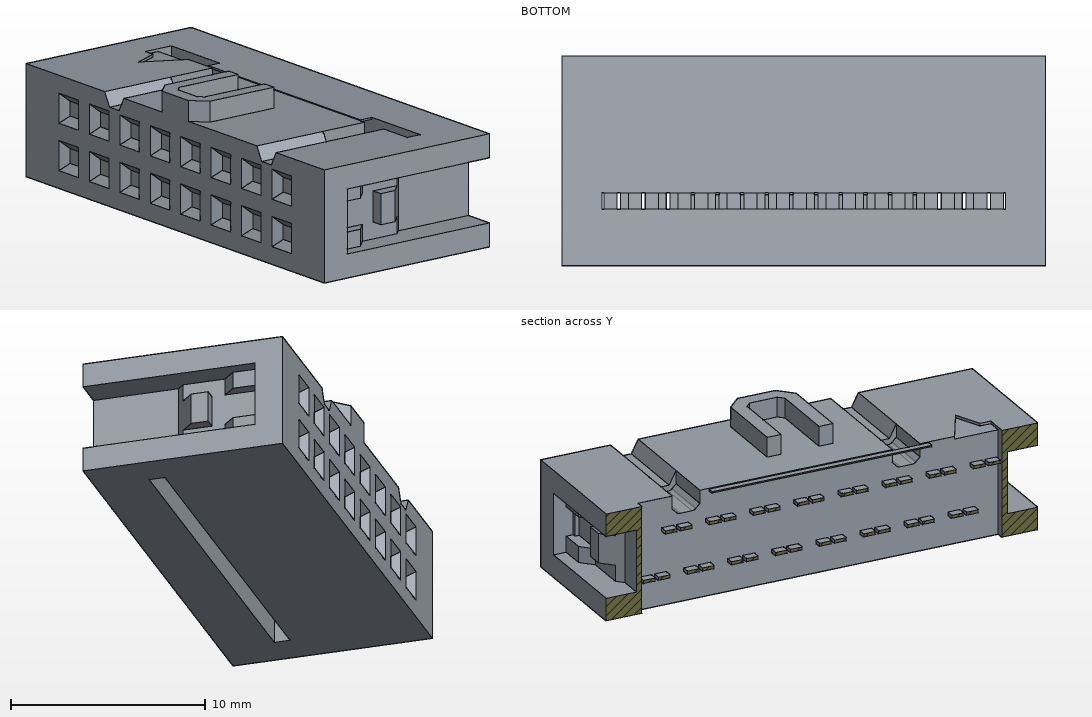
import cadquery as cq
import math


length = 24.9
depth = 10.8
body_height = 6.08
total_height = 7.2
mid_z = body_height / 2

contacts_per_row = 8
contact_pitch = 2.55
wire_pitch = contact_pitch / 2
row_z = {"lower": mid_z - contact_pitch / 2, "upper": mid_z + contact_pitch / 2}

opening_mouth = 1.62
opening_floor = 0.8
opening_depth = (opening_mouth - opening_floor) / 2

passage_half_length = 10.38
housing_back = 7.05
seam_width = 0.1
lip_thickness = 0.1
passage_back = 7.9
lip_half_length = 5 * wire_pitch

blade_width = 1.55
blade_thickness = 0.2
fork_slot = 0.17
blade_bite = 0.12

key_half_width = 1.9
key_arm = 0.8
key_length = 4.98
key_inner_bevel = 0.3

groove_positions = (-2 * contact_pitch, 3 * contact_pitch)
groove_half_width = 0.8
groove_floor_half_width = 0.4
groove_depth = 0.75
groove_step_y = 4.33
groove_flank = 0.237
groove_round = 0.3
groove_flank_angle = math.radians(45)

mark_depth = 0.15
mark_end_y = 6.2
mark_tip_y = 4.73
mark_shoulder_x = -9.75
mark_tip_x = -9.1
mark_right_x = -7.87

recess_front = 1.5
recess_height = 3.49
recess_depth = 1.75
latch_ramp_back = 6.2
latch_wall_depth = 1.37
tooth_height = 1.67
tooth_depth = 0.72
tooth_front = 4.25
stop_ramp_back = 3.55
channel_end = 1.7
channel_step = 0.25


def box(x0, x1, y0, y1, z0, z1):
    return cq.Workplane("XY").box(x1 - x0, y1 - y0, z1 - z0, centered=False).translate((x0, y0, z0))


def row_x(index):
    return (index - (contacts_per_row - 1) / 2) * contact_pitch


def plan_prism(points, z, height):
    return cq.Workplane("XY").workplane(offset=z).polyline(points).close().extrude(height)


def contact_opening(x, z):
    return (
        cq.Workplane("XZ", origin=(x, 0, z))
        .rect(opening_mouth, opening_mouth)
        .workplane(offset=-opening_depth)
        .rect(opening_floor, opening_floor)
        .loft()
    )


def cable_passage():
    slot = box(-passage_half_length, passage_half_length, housing_back, passage_back, 0, body_height)
    lip_front = housing_back + seam_width
    lip_bottom = body_height - lip_thickness
    lip = box(-lip_half_length, lip_half_length, lip_front, passage_back, lip_bottom, body_height)
    return slot.cut(lip)


def fork_blade(x, z):
    y0 = housing_back - blade_bite
    y1 = passage_back + blade_bite
    z0 = z - blade_thickness / 2
    z1 = z + blade_thickness / 2
    blade = box(x - blade_width / 2, x + blade_width / 2, y0, y1, z0, z1)
    return blade.cut(box(x - fork_slot / 2, x + fork_slot / 2, housing_back, passage_back, z0, z1))


def polarising_key():
    inner = key_half_width - key_arm
    outline = [
        (-inner, 0),
        (inner, 0),
        (key_half_width, key_arm),
        (key_half_width, key_length),
        (inner, key_length),
        (inner, key_arm + key_inner_bevel),
        (inner - key_inner_bevel, key_arm),
        (-inner + key_inner_bevel, key_arm),
        (-inner, key_arm + key_inner_bevel),
        (-inner, key_length),
        (-key_half_width, key_length),
        (-key_half_width, key_arm),
    ]
    return plan_prism(outline, mid_z, total_height - mid_z)


def keyway_groove(x):
    front = (
        cq.Workplane("XZ", origin=(x, 0, body_height))
        .moveTo(-groove_half_width, 0)
        .lineTo(-groove_floor_half_width, -groove_depth)
        .lineTo(groove_floor_half_width, -groove_depth)
        .lineTo(groove_half_width, 0)
        .close()
        .extrude(-groove_step_y)
    )
    flank_x = groove_half_width - groove_flank
    flank_z = -groove_depth - groove_flank * math.tan(groove_flank_angle)
    floor_x = flank_x - groove_round * math.sin(groove_flank_angle)
    floor_z = flank_z - groove_round * (1 - math.cos(groove_flank_angle))
    arc_x = floor_x + groove_round * math.sin(groove_flank_angle / 2)
    arc_z = floor_z + groove_round * (1 - math.cos(groove_flank_angle / 2))
    rear = (
        cq.Workplane("XZ", origin=(x, groove_step_y, body_height))
        .moveTo(-groove_half_width, 0)
        .lineTo(-groove_half_width, -groove_depth)
        .lineTo(-flank_x, flank_z)
        .threePointArc((-arc_x, arc_z), (-floor_x, floor_z))
        .lineTo(floor_x, floor_z)
        .threePointArc((arc_x, arc_z), (flank_x, flank_z))
        .lineTo(groove_half_width, -groove_depth)
        .lineTo(groove_half_width, 0)
        .close()
        .extrude(groove_step_y - housing_back)
    )
    return front.union(rear)


def pin_one_mark():
    outline = [
        (-passage_half_length, housing_back),
        (-passage_half_length, mark_end_y),
        (mark_shoulder_x, mark_end_y),
        (mark_tip_x, mark_tip_y),
        (mark_right_x, housing_back),
    ]
    return plan_prism(outline, body_height - mark_depth, mark_depth)


def latch_recess():
    end = -length / 2
    cover_x = end + recess_depth
    wall_x = end + latch_wall_depth
    tooth_x = end + tooth_depth
    wall_y = latch_ramp_back - (recess_depth - latch_wall_depth)
    ramp = latch_wall_depth - tooth_depth
    outer = [
        (end, depth),
        (cover_x, depth),
        (cover_x, latch_ramp_back),
        (wall_x, wall_y),
        (wall_x, stop_ramp_back),
        (tooth_x, stop_ramp_back - ramp),
        (tooth_x, recess_front),
        (end, recess_front),
    ]
    middle = [
        (end, depth),
        (cover_x, depth),
        (cover_x, latch_ramp_back),
        (tooth_x, wall_y - ramp),
        (tooth_x, tooth_front),
        (wall_x, tooth_front),
        (wall_x, channel_end),
        (wall_x - channel_step, channel_end),
        (wall_x - channel_step, recess_front),
        (end, recess_front),
    ]
    z0 = mid_z - recess_height / 2
    band = (recess_height - tooth_height) / 2
    return (
        plan_prism(outer, z0, band)
        .union(plan_prism(middle, z0 + band, tooth_height))
        .union(plan_prism(outer, z0 + band + tooth_height, band))
    )


result = box(-length / 2, length / 2, 0, depth, 0, body_height).union(polarising_key())
for z in row_z.values():
    for i in range(contacts_per_row):
        result = result.cut(contact_opening(row_x(i), z))
result = result.cut(cable_passage())
for x in groove_positions:
    result = result.cut(keyway_groove(x))
result = result.cut(pin_one_mark())
result = result.cut(latch_recess()).cut(latch_recess().mirror("YZ"))

for i in range(contacts_per_row):
    result = result.union(fork_blade(row_x(i) - wire_pitch / 2, row_z["upper"]))
    result = result.union(fork_blade(row_x(i) + wire_pitch / 2, row_z["lower"]))